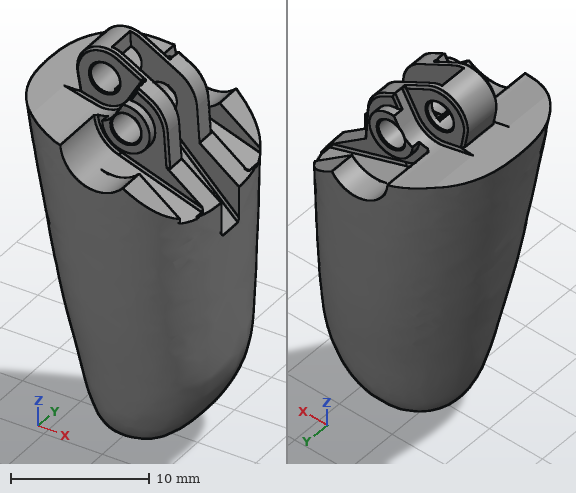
import cadquery as cq
import math

TOTAL_HEIGHT = 32.8
REACH = 19.7

STATIONS = [
    (0.0, 8.17, 8.65, 0.25),
    (0.05, 7.6, 9.22, 0.85),
    (0.2, 7.1, 9.7, 1.48),
    (1.0, 5.9, 11.25, 3.25),
    (2.55, 5.02, 13.03, 4.85),
    (4.92, 4.33, 14.6, 5.85),
    (8.2, 3.6, 15.55, 6.43),
    (10.5, 3.15, 15.6, 6.82),
    (13.12, 2.62, 15.6, 7.15),
    (19.7, 1.5, 15.6, 7.6),
    (25.6, 0.52, 15.6, 7.85),
    (31.17, -0.35, 15.6, 7.85),
    (37.73, -1.4, 15.6, 7.85),
    (44.3, -2.45, 15.6, 7.85),
]
BACK_POWER_LOW, BACK_POWER_HIGH = 1.9, 2.4
FRONT_POWER_LOW, FRONT_POWER_HIGH = 2.5, 3.3
QUARTER_STEPS = 6

BACK_TOP = 28.85
BACK_SLOPE = 0.1
PEAK_X = 11.2
PEAK_Z = 25.95
FRONT_ANGLE = 37.7

UPPER_X, UPPER_Z = 5.97, 30.32
LOWER_X, LOWER_Z = 9.0, 28.05
PIN_DIAMETER = 2.5
HOLE_CHAMFER = 0.1
UPPER_RADIUS = TOTAL_HEIGHT - UPPER_Z
LOWER_RADIUS = 3.0
LUG_HALF = 1.8
CHEEK_HALF = 2.95
BOSS_HALF = 3.7
BOSS_RADIUS = 2.05
LUG_FOOT_Z = 22.97
BACK_LEAN = 10.0
FRONT_LEAN = 4.0
EDGE_CHAMFER = 0.2

SHOULDER_ANGLE = 14.0
LUG_ANGLE = 30.0
GROOVE_RADIUS = 3.1
RAMP_ANGLE = 19.0
RAMP_HALF = 5.45
RAMP_END_X = 15.25

SLOT_HALF = 1.2
SLOT_START_X = 6.25
SLOT_WALL_FOOT_X = 6.55
SLOT_STEP_X = 7.75
SLOT_STEP_Z = 27.43
SLOT_FLOOR_ANGLE = 45.0


def on_circle(x, z, radius, degrees):
    """Point at an angle from +X toward +Z on a circle in the XZ plane."""
    angle = math.radians(degrees)
    return x + radius * math.cos(angle), z + radius * math.sin(angle)


def slab(profile, half):
    """Extrude an XZ profile equally to both sides of the symmetry plane."""
    return profile.extrude(half, both=True)


def sketch():
    return cq.Workplane("XZ")


def disc(x, z, radius, half):
    return slab(sketch().center(x, z).circle(radius), half)


def both_sides(solid):
    return solid.union(solid.mirror("XZ"))


def outside(profile, inner, outer):
    """Extrude a profile over inner < |Y| < outer, with a chamfered inner rim."""
    near = profile.extrude(outer - inner)
    near = near.faces(">Y").edges().chamfer(EDGE_CHAMFER)
    return both_sides(near.translate((0, -inner, 0)))


def section_points(height, x_min, x_max, half):
    """Closed egg-shaped loop made of two superellipse halves."""
    middle = (x_min + x_max) / 2
    radius = (x_max - x_min) / 2
    rise = min(height / BACK_TOP, 1)
    back_power = BACK_POWER_LOW + rise * (BACK_POWER_HIGH - BACK_POWER_LOW)
    front_power = FRONT_POWER_LOW + rise * (FRONT_POWER_HIGH - FRONT_POWER_LOW)
    points = []
    for step in range(4 * QUARTER_STEPS):
        angle = math.pi / 2 * step / QUARTER_STEPS
        cos, sin = math.cos(angle), math.sin(angle)
        power = 2 / (front_power if cos > 0 else back_power)
        x = middle + radius * math.copysign(abs(cos) ** power, cos)
        points.append((x, half * math.copysign(abs(sin) ** power, sin)))
    return points


def shell():
    """Pod lofted through the stations, trimmed by the two planes on top."""
    wires = []
    for height, x_min, x_max, half in STATIONS:
        loop = cq.Workplane("XY", origin=(0, 0, height))
        points = section_points(height, x_min, x_max, half)
        wires.append(loop.spline(points, periodic=True).wire().val())
    pod = cq.Workplane(cq.Solid.makeLoft(wires))
    fall = math.tan(math.radians(FRONT_ANGLE))
    ridge_x = (PEAK_Z + PEAK_X * fall - BACK_TOP) / (fall - BACK_SLOPE)
    ridge_z = BACK_TOP - BACK_SLOPE * ridge_x
    above = sketch().polyline([
        (-REACH, BACK_TOP + BACK_SLOPE * REACH),
        (ridge_x, ridge_z),
        (ridge_x + REACH, ridge_z - REACH * fall),
        (ridge_x + REACH, ridge_z + REACH),
        (-REACH, ridge_z + REACH),
    ]).close()
    return pod.cut(slab(above, REACH))


def link_grooves():
    """Round cross groove beside the cheeks, with a ramp falling away toward +X."""
    groove = outside(sketch().center(LOWER_X, LOWER_Z).circle(GROOVE_RADIUS), CHEEK_HALF, REACH)
    start_x, start_z = on_circle(LOWER_X, LOWER_Z, GROOVE_RADIUS, 270 - RAMP_ANGLE)
    end_z = start_z - (RAMP_END_X - start_x) * math.tan(math.radians(RAMP_ANGLE))
    ramp = sketch().polyline([
        (start_x, start_z),
        (RAMP_END_X, end_z),
        (RAMP_END_X, LOWER_Z),
        (start_x, LOWER_Z),
    ]).close()
    return groove.union(outside(ramp, CHEEK_HALF, RAMP_HALF))


def hinge_profile():
    """Belt-like outline around both pins, carried down into the shell."""
    spacing = math.hypot(LOWER_X - UPPER_X, UPPER_Z - LOWER_Z)
    fall = math.degrees(math.atan2(UPPER_Z - LOWER_Z, LOWER_X - UPPER_X))
    normal = 90 - fall + math.degrees(math.asin((LOWER_RADIUS - UPPER_RADIUS) / spacing))
    back = on_circle(UPPER_X, UPPER_Z, UPPER_RADIUS, 180 + BACK_LEAN)
    back_foot_x = back[0] + (back[1] - LUG_FOOT_Z) * math.tan(math.radians(BACK_LEAN))
    front = on_circle(LOWER_X, LOWER_Z, LOWER_RADIUS, FRONT_LEAN)
    front_foot_x = front[0] + (front[1] - LUG_FOOT_Z) * math.tan(math.radians(FRONT_LEAN))
    return (
        sketch()
        .moveTo(*back)
        .threePointArc(
            on_circle(UPPER_X, UPPER_Z, UPPER_RADIUS, (180 + BACK_LEAN + normal) / 2),
            on_circle(UPPER_X, UPPER_Z, UPPER_RADIUS, normal),
        )
        .lineTo(*on_circle(LOWER_X, LOWER_Z, LOWER_RADIUS, normal))
        .threePointArc(
            on_circle(LOWER_X, LOWER_Z, LOWER_RADIUS, (normal + FRONT_LEAN) / 2),
            front,
        )
        .lineTo(front_foot_x, LUG_FOOT_Z)
        .lineTo(back_foot_x, LUG_FOOT_Z)
        .close()
    )


def clearance_profile():
    """Space swept by the link on the upper pin."""
    low = on_circle(UPPER_X, UPPER_Z, UPPER_RADIUS, 270 - SHOULDER_ANGLE)
    bottom = (UPPER_X, UPPER_Z - UPPER_RADIUS)
    high = on_circle(UPPER_X, UPPER_Z, UPPER_RADIUS, -LUG_ANGLE)
    rise = math.tan(math.radians(SHOULDER_ANGLE))
    lean = math.tan(math.radians(LUG_ANGLE))
    return (
        sketch()
        .moveTo(low[0] - REACH, low[1] + REACH * rise)
        .lineTo(*low)
        .threePointArc(bottom, high)
        .lineTo(high[0] + REACH * lean, high[1] + REACH)
        .lineTo(low[0] - REACH, high[1] + REACH)
        .close()
    )


def upper_clearance():
    """The swept space on both sides of the central lug."""
    return outside(clearance_profile(), LUG_HALF, REACH)


def rim(lug):
    """Chamfer the outline of both end faces of a lug."""
    return lug.faces("<Y or >Y").edges().chamfer(EDGE_CHAMFER)


def cheeks():
    """Wide lower part of the hinge with its bosses, clear of the upper pin."""
    body = slab(hinge_profile(), CHEEK_HALF).cut(slab(clearance_profile(), LUG_HALF))
    body = rim(body.cut(upper_clearance()))
    return body.union(disc(LOWER_X, LOWER_Z, BOSS_RADIUS, BOSS_HALF))


def pin_hole(x, z, half):
    """Through hole with a chamfered mouth on the end faces at Y = +-half."""
    radius = PIN_DIAMETER / 2
    mouth = cq.Workplane(cq.Solid.makeCone(
        radius + HOLE_CHAMFER, radius, HOLE_CHAMFER,
        cq.Vector(x, -half, z), cq.Vector(0, 1, 0),
    ))
    return disc(x, z, radius, half).union(both_sides(mouth))


def tendon_slot():
    """Slot through the hinge: steep end wall, flat step, then a floor falling to +X."""
    end_x = SLOT_STEP_X + REACH
    floor_angle = math.radians(SLOT_FLOOR_ANGLE)
    profile = sketch().polyline([
        (SLOT_START_X, UPPER_Z + UPPER_RADIUS),
        (SLOT_WALL_FOOT_X, SLOT_STEP_Z),
        (SLOT_STEP_X, SLOT_STEP_Z),
        (end_x, SLOT_STEP_Z - REACH * math.tan(floor_angle)),
        (end_x, UPPER_Z + UPPER_RADIUS),
    ]).close()
    slot = slab(profile, SLOT_HALF)
    down = cq.Vector(-math.sin(floor_angle), 0, -math.cos(floor_angle))
    floor = slot.faces(cq.selectors.DirectionNthSelector(down, -1))
    return floor.edges("not |Y").chamfer(EDGE_CHAMFER)


result = shell().cut(link_grooves()).union(cheeks()).cut(upper_clearance())
result = result.union(rim(slab(hinge_profile(), LUG_HALF)))
result = result.cut(pin_hole(UPPER_X, UPPER_Z, LUG_HALF))
result = result.cut(pin_hole(LOWER_X, LOWER_Z, BOSS_HALF))
result = result.cut(tendon_slot())